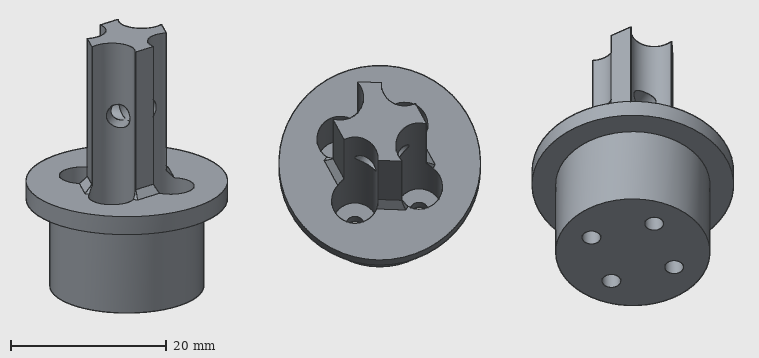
import cadquery as cq
import math

total_height = 34.5
shaft_height = 20.0
flange_thickness = 2.5
base_height = total_height - shaft_height - flange_thickness
flange_top = base_height + flange_thickness

base_diameter = 19.9
flange_diameter = 26.0

hex_corner_diameter = 12.0
hex_flat_distance = hex_corner_diameter * math.cos(math.pi / 6)
foot_height = 1.0

screw_count = 4
screw_circle_radius = hex_corner_diameter / 2
head_diameter = 6.0
screw_diameter = 2.4
screw_floor = flange_thickness

cross_hole_diameter = 3.2
cross_hole_z = flange_top + shaft_height / 2


def make_body():
    base = cq.Workplane("XY").circle(base_diameter / 2).extrude(base_height)
    flange = (
        cq.Workplane("XY")
        .workplane(offset=base_height)
        .circle(flange_diameter / 2)
        .extrude(flange_thickness)
    )
    return base.union(flange)


def make_shaft():
    shaft = (
        cq.Workplane("XY")
        .workplane(offset=flange_top)
        .polygon(6, hex_corner_diameter)
        .extrude(shaft_height)
    )
    foot_flat_distance = hex_flat_distance + 2 * foot_height
    foot_corner_diameter = foot_flat_distance / math.cos(math.pi / 6)
    foot = (
        cq.Workplane("XY")
        .workplane(offset=flange_top)
        .polygon(6, foot_corner_diameter)
        .workplane(offset=foot_height)
        .polygon(6, hex_corner_diameter)
        .loft(ruled=True)
    )
    return shaft.union(foot)


def screw_cutters(diameter, bottom, top):
    return (
        cq.Workplane("XY")
        .workplane(offset=bottom)
        .polarArray(screw_circle_radius, 0, 360, screw_count)
        .circle(diameter / 2)
        .extrude(top - bottom)
    )


def cross_hole(plane):
    return (
        cq.Workplane(plane)
        .center(0, cross_hole_z)
        .circle(cross_hole_diameter / 2)
        .extrude(hex_corner_diameter, both=True)
    )


result = make_body().union(make_shaft())

result = result.cut(screw_cutters(head_diameter, screw_floor, total_height))
result = result.cut(screw_cutters(screw_diameter, 0, screw_floor))

for plane in ("XZ", "YZ"):
    result = result.cut(cross_hole(plane))